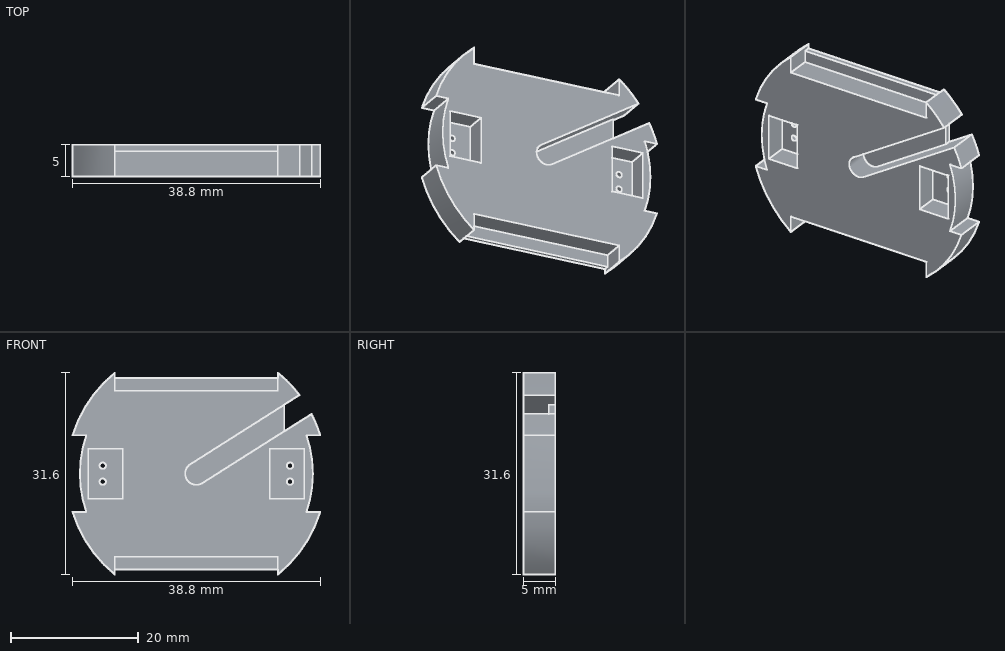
import cadquery as cq

thickness = 5.0
outer_radius = 20.3

relief_radius = 18.25
relief_half_height = 6.0

channel_half_length = 12.75
channel_floor_z = 13.0
lip_top_z = 15.0
lip_thickness = 1.0

pocket_center_x = 14.2
pocket_width = 5.4
pocket_height = 7.8
pocket_depth = 3.75
wire_hole_diameter = 0.95
wire_hole_x = 14.65
wire_hole_spacing = 2.5

slot_width = 3.5
slot_angle = 32.35
slot_depth = 4.0
slot_floor_end_x = 13.75


def box(x_min, x_max, y_min, y_max, z_min, z_max):
    """Axis-aligned block between the given limits."""
    size = (x_max - x_min, y_max - y_min, z_max - z_min)
    return cq.Workplane("XY").box(*size, centered=False).translate((x_min, y_min, z_min))


def disc(radius, x=0.0, z=0.0, depth=thickness):
    """Cylinder along Y that starts on the front face."""
    return cq.Workplane("XZ").center(x, z).circle(radius).extrude(-depth)


def side_reliefs():
    """Rim material removed on both sides, down to the relief radius."""
    band = box(-outer_radius, outer_radius, 0, thickness, -relief_half_height, relief_half_height)
    return band.cut(disc(relief_radius))


def channel(side):
    """Cut along the top (side = 1) or bottom (side = -1) edge that leaves the back lip."""
    length = (-channel_half_length, channel_half_length)
    groove_z = sorted((side * channel_floor_z, side * outer_radius))
    trim_z = sorted((side * lip_top_z, side * outer_radius))
    groove = box(*length, 0, thickness - lip_thickness, *groove_z)
    trim = box(*length, 0, thickness, *trim_z)
    return groove.union(trim)


def side_pocket(side):
    """Blind pocket on the right (side = 1) or left (side = -1) with its through holes."""
    center_x = side * pocket_center_x
    pocket = box(
        center_x - pocket_width / 2,
        center_x + pocket_width / 2,
        0,
        pocket_depth,
        -pocket_height / 2,
        pocket_height / 2,
    )
    for hole_z in (-wire_hole_spacing / 2, wire_hole_spacing / 2):
        pocket = pocket.union(disc(wire_hole_diameter / 2, side * wire_hole_x, hole_z))
    return pocket


def slot_shape(depth):
    """Round-ended slot of the given depth, running past the rim."""
    arm = box(0, 2 * outer_radius, 0, depth, -slot_width / 2, slot_width / 2)
    arm = arm.rotate((0, 0, 0), (0, 1, 0), -slot_angle)
    return arm.union(disc(slot_width / 2, depth=depth))


def slanted_slot():
    """Blind slot whose floor stops short of the rim, open right through beyond it."""
    mouth = box(slot_floor_end_x, 2 * outer_radius, 0, thickness, 0, 2 * outer_radius)
    return slot_shape(slot_depth).union(slot_shape(thickness).intersect(mouth))


plate = disc(outer_radius).cut(side_reliefs())
for direction in (-1, 1):
    plate = plate.cut(channel(direction)).cut(side_pocket(direction))

result = plate.cut(slanted_slot())